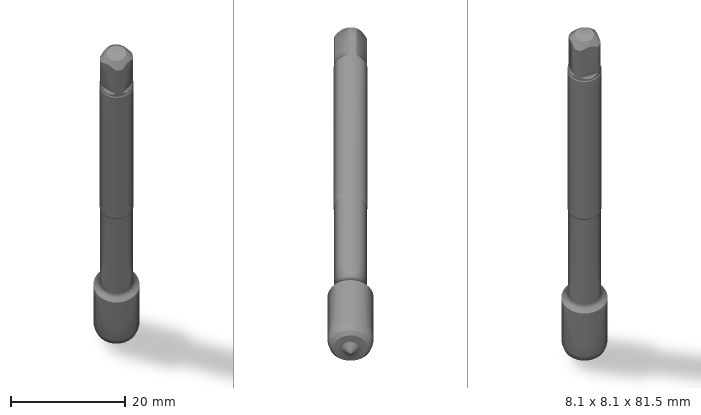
import cadquery as cq
import math

total_length = 81.55
face_z = 1.55
lead_z = 2.2
thread_start_z = 3.6
back_cone_height = 0.5
head_top_z = 15.1
shank_bottom_z = 37.2
shank_top_z = 72.75
square_bottom_z = 73.55

head_radius = 8.1 / 2
lead_radius = 3.7
lead_bulge = 0.065
point_radius = face_z
front_chamfer = lead_z - face_z

shank_radius = 6.0 / 2
neck_radius = 5.7 / 2
drive_radius = 5.8 / 2
taper_length = 0.5
end_chamfer = shank_radius - drive_radius
neck_fillet = 0.8
neck_fillet_angle = math.radians(60)
neck_fillet_height = neck_fillet * math.sin(neck_fillet_angle)
joint_radius = neck_radius + neck_fillet * (1 - math.cos(neck_fillet_angle))
square_size = 4.9
square_chamfer = 1.2


def make_head():
    """Round cutting head with a curved lead and a conical centre point."""
    lead_mid_radius = (head_radius + lead_radius) / 2 + lead_bulge
    lead_mid_z = (thread_start_z + lead_z) / 2
    return (
        cq.Workplane("XZ")
        .moveTo(0, 0)
        .lineTo(point_radius, face_z)
        .lineTo(lead_radius - front_chamfer, face_z)
        .lineTo(lead_radius, lead_z)
        .threePointArc((lead_mid_radius, lead_mid_z), (head_radius, thread_start_z))
        .lineTo(head_radius, head_top_z - back_cone_height)
        .lineTo(joint_radius, head_top_z)
        .lineTo(0, head_top_z)
        .close()
        .revolve(360, (0, 0, 0), (0, 1, 0))
    )


def shank_blank():
    """Round shank with its neck fillet, taper and chamfered drive end."""
    return (
        cq.Workplane("XZ")
        .moveTo(0, head_top_z)
        .lineTo(joint_radius, head_top_z)
        .radiusArc((neck_radius, head_top_z + neck_fillet_height), neck_fillet)
        .lineTo(neck_radius, shank_bottom_z)
        .lineTo(shank_radius, shank_bottom_z + taper_length)
        .lineTo(shank_radius, shank_top_z - end_chamfer)
        .lineTo(drive_radius, shank_top_z)
        .lineTo(drive_radius, total_length - square_chamfer)
        .lineTo(drive_radius - square_chamfer, total_length)
        .lineTo(0, total_length)
        .close()
        .revolve(360, (0, 0, 0), (0, 1, 0))
    )


def flat_cutters():
    """Four cutters beside the drive square, each ending in a 45 degree run-out."""
    flat_offset = square_size / 2
    outer_offset = 2 * drive_radius
    run_out_z = square_bottom_z - (outer_offset - flat_offset)
    cutter = (
        cq.Workplane("XZ")
        .moveTo(flat_offset, square_bottom_z)
        .lineTo(outer_offset, run_out_z)
        .lineTo(outer_offset, total_length)
        .lineTo(flat_offset, total_length)
        .close()
        .extrude(drive_radius, both=True)
    )
    return [cutter.rotate((0, 0, 0), (0, 0, 1), 90 * side) for side in range(4)]


head = make_head()
shank = shank_blank()
for flat_cutter in flat_cutters():
    shank = shank.cut(flat_cutter)

result = cq.Compound.makeCompound([head.val(), shank.val()])